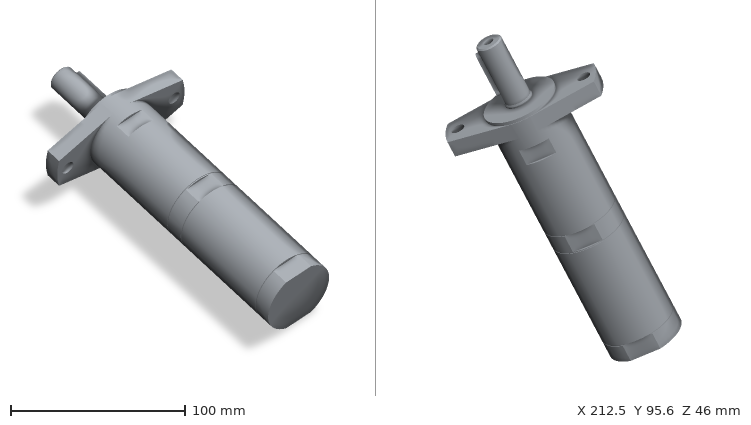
import cadquery as cq
import math

TOTAL_LENGTH = 212.5

SHAFT_DIAMETER = 16.0
SHAFT_CHAMFER = 0.8
COLLAR_DIAMETER = 17.5
COLLAR_START = 40.8
COLLAR_TAPER_LENGTH = 1.0
CENTRE_DRILL_DIAMETER = 4.0
CENTRE_DRILL_MOUTH = 6.4
CENTRE_DRILL_DEPTH = 8.5
CENTRE_DRILL_TIP_ANGLE = 120.0
COUNTERSINK_ANGLE = 60.0

KEY_START = 4.0
KEY_LENGTH = 30.0
KEY_WIDTH = 5.0
KEY_TOP = 10.0
KEY_SEAT = 5.0

PILOT_DIAMETER = 45.0
PILOT_START = 41.6
BODY_DIAMETER = 46.0

FLANGE_START = 43.8
FLANGE_THICKNESS = 10.2
FLANGE_SPAN = 95.6
FLANK_ANGLE = 15.0
BOLT_HOLE_DIAMETER = 8.3
BOLT_SPACING = 80.0

ACROSS_FLATS = 41.9
FRONT_BAND = (61.6, 71.8)
MIDDLE_BAND = (123.0, 134.5)
REAR_BAND = (201.0, TOTAL_LENGTH)

GROOVE_DIAMETER = 45.0
GROOVE_WIDTH = 0.6

CUT_ALLOWANCE = 2.1

BODY_RADIUS = BODY_DIAMETER / 2


def cylinder(start, end, diameter):
    """Round bar along X between two stations."""
    return cq.Workplane("YZ", origin=(start, 0, 0)).circle(diameter / 2).extrude(end - start)


def shaft():
    """Shaft with a chamfered tip, tapering out to the collar at the pilot."""
    radius = SHAFT_DIAMETER / 2
    collar_radius = COLLAR_DIAMETER / 2
    return (
        cq.Workplane("XY")
        .moveTo(0, 0)
        .lineTo(0, radius - SHAFT_CHAMFER)
        .lineTo(SHAFT_CHAMFER, radius)
        .lineTo(COLLAR_START - COLLAR_TAPER_LENGTH, radius)
        .lineTo(COLLAR_START, collar_radius)
        .lineTo(FLANGE_START, collar_radius)
        .lineTo(FLANGE_START, 0)
        .close()
        .revolve(360, (0, 0, 0), (1, 0, 0))
    )


def key():
    """Round-ended key standing out of the shaft towards +Y."""
    return (
        cq.Workplane("XZ", origin=(KEY_START + KEY_LENGTH / 2, KEY_SEAT, 0))
        .slot2D(KEY_LENGTH, KEY_WIDTH)
        .extrude(-(KEY_TOP - KEY_SEAT))
    )


def centre_drill():
    """Blind hole in the shaft tip with a countersunk mouth and a conical end."""
    radius = CENTRE_DRILL_DIAMETER / 2
    mouth_radius = CENTRE_DRILL_MOUTH / 2
    mouth_depth = (mouth_radius - radius) / math.tan(math.radians(COUNTERSINK_ANGLE / 2))
    tip_length = radius / math.tan(math.radians(CENTRE_DRILL_TIP_ANGLE / 2))
    return (
        cq.Workplane("XY")
        .moveTo(0, 0)
        .lineTo(0, mouth_radius)
        .lineTo(mouth_depth, radius)
        .lineTo(CENTRE_DRILL_DEPTH, radius)
        .lineTo(CENTRE_DRILL_DEPTH + tip_length, 0)
        .close()
        .revolve(360, (0, 0, 0), (1, 0, 0))
    )


def flange():
    """Plate with flanks tangent to the body and arc ends about the axis.

    Between opposite flanks the outline cuts straight through the body, whose round fills it out.
    """
    angle = math.radians(FLANK_ANGLE)
    end_radius = FLANGE_SPAN / 2
    tangent_y = BODY_RADIUS * math.sin(angle)
    tangent_z = BODY_RADIUS * math.cos(angle)
    flank_length = math.sqrt(end_radius**2 - BODY_RADIUS**2)
    corner_y = tangent_y + flank_length * math.cos(angle)
    corner_z = tangent_z - flank_length * math.sin(angle)
    plate = (
        cq.Workplane("YZ", origin=(FLANGE_START, 0, 0))
        .moveTo(-tangent_y, tangent_z)
        .lineTo(tangent_y, tangent_z)
        .lineTo(corner_y, corner_z)
        .threePointArc((end_radius, 0), (corner_y, -corner_z))
        .lineTo(tangent_y, -tangent_z)
        .lineTo(-tangent_y, -tangent_z)
        .lineTo(-corner_y, -corner_z)
        .threePointArc((-end_radius, 0), (-corner_y, corner_z))
        .close()
        .extrude(FLANGE_THICKNESS)
    )
    bolt_holes = (
        cq.Workplane("YZ", origin=(FLANGE_START, 0, 0))
        .pushPoints([(-BOLT_SPACING / 2, 0), (BOLT_SPACING / 2, 0)])
        .circle(BOLT_HOLE_DIAMETER / 2)
        .extrude(FLANGE_THICKNESS)
    )
    return plate.cut(bolt_holes)


def flat_cutters(start, end):
    """Material removed above and below one flatted band."""
    outside = cq.Workplane("XY").box(end - start, BODY_DIAMETER, BODY_DIAMETER + CUT_ALLOWANCE)
    kept = cq.Workplane("XY").box(end - start, BODY_DIAMETER, ACROSS_FLATS)
    return outside.cut(kept).translate(((start + end) / 2, 0, 0))


def groove_cutter(start):
    """Ring removed for one joint groove."""
    ring_end = start + GROOVE_WIDTH
    outside = cylinder(start, ring_end, BODY_DIAMETER + CUT_ALLOWANCE)
    kept = cylinder(start, ring_end, GROOVE_DIAMETER)
    return outside.cut(kept)


body = cylinder(FLANGE_START, TOTAL_LENGTH, BODY_DIAMETER)
for band_start, band_end in (FRONT_BAND, MIDDLE_BAND, REAR_BAND):
    body = body.cut(flat_cutters(band_start, band_end))
for groove_start in (MIDDLE_BAND[0] - GROOVE_WIDTH, MIDDLE_BAND[1], REAR_BAND[0]):
    body = body.cut(groove_cutter(groove_start))

pilot = cylinder(PILOT_START, FLANGE_START, PILOT_DIAMETER)
result = body.union(flange()).union(pilot).union(shaft()).union(key()).cut(centre_drill())